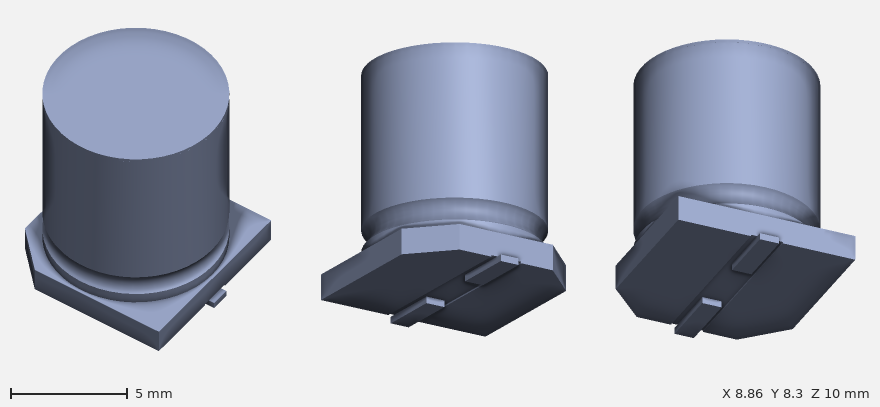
import cadquery as cq


total_height = 10.0

lead_span = 8.86
lead_gap = 3.1
lead_length = (lead_span - lead_gap) / 2
lead_width = 0.9
lead_thickness = 0.3

base_size = 8.3
base_chamfer = 1.8
base_bottom = 0.23
base_top = 1.4
slot_width = 1.5

can_radius = 4.0
groove_bottom = 1.9
groove_height = 1.0
groove_depth = 0.25

mark_edge_x = 1.7
mark_thickness = 0.15


def make_base():
    """Square plate with two cut corners on -X and a slot underneath for the leads."""
    plate = (
        cq.Workplane("XY", origin=(0, 0, base_bottom))
        .rect(base_size, base_size)
        .extrude(base_top - base_bottom)
        .edges("|Z and <X")
        .chamfer(base_chamfer)
    )
    slot = cq.Workplane("XY").rect(base_size, slot_width).extrude(lead_thickness)
    return plate.cut(slot)


def make_lead(side):
    """Flat lead on one side of the base; side is -1 for -X and +1 for +X."""
    center_x = side * (lead_gap + lead_length) / 2
    return (
        cq.Workplane("XY")
        .center(center_x, 0)
        .rect(lead_length, lead_width)
        .extrude(lead_thickness)
    )


def make_mark():
    """Thin circular segment on the +X side of the can's top."""
    disc = (
        cq.Workplane("XY", origin=(0, 0, total_height - mark_thickness))
        .circle(can_radius)
        .extrude(mark_thickness)
    )
    keep_length = can_radius - mark_edge_x
    keep = (
        cq.Workplane("XY", origin=(mark_edge_x + keep_length / 2, 0, 0))
        .rect(keep_length, 2 * can_radius)
        .extrude(total_height)
    )
    return disc.intersect(keep)


def make_can(mark):
    """Round can with a rolled groove near its foot and a recess for the mark."""
    groove_top = groove_bottom + groove_height
    groove_waist = groove_bottom + groove_height / 2
    can = (
        cq.Workplane("XZ")
        .moveTo(0, base_top)
        .lineTo(can_radius, base_top)
        .lineTo(can_radius, groove_bottom)
        .threePointArc((can_radius - groove_depth, groove_waist), (can_radius, groove_top))
        .lineTo(can_radius, total_height)
        .lineTo(0, total_height)
        .close()
        .revolve(360, (0, 0, 0), (0, 1, 0))
    )
    return can.cut(mark)


base = make_base()
leads = [make_lead(side) for side in (-1, 1)]
mark = make_mark()
can = make_can(mark)

result = cq.Compound.makeCompound(
    [base.val(), can.val(), mark.val(), *[lead.val() for lead in leads]]
)